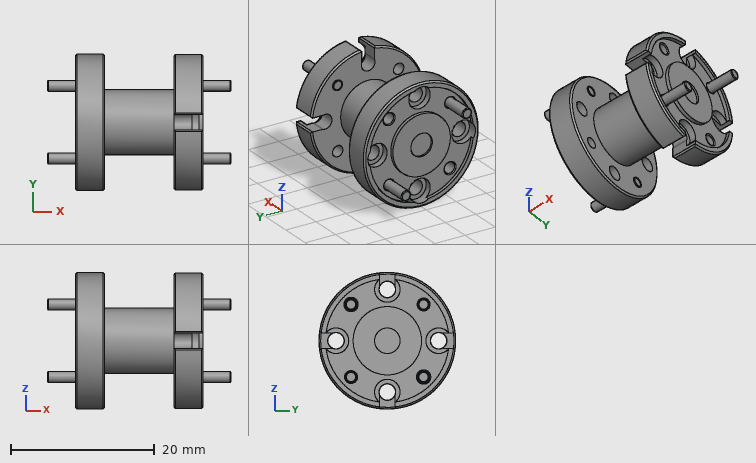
import cadquery as cq
import math

flange_diameter = 19.05
overall_length = 25.53
body_length = 17.78
flange_thickness = 4.08
tube_diameter = 9.14
flange_edge_chamfer = 0.25

recess_outer_diameter = 17.2
boss_diameter = 9.52
recess_depth = 0.55
centre_bore_diameter = 3.55
centre_bore_depth = 0.3

bolt_circle_radius = 7.14
screw_hole_diameter = 2.26
counterbore_diameter = 3.55
counterbore_depth = 1.57
slot_width = 2.12
slot_edge_chamfer = 0.23
screw_angles = [0, 90, 180, 270]

pin_diameter = 1.56
pin_tip_chamfer = 0.13
pin_mouth_chamfer = 0.12
clearance_hole_diameter = 1.7
clearance_mouth_chamfer = 0.15
pin_angles = [45, 225]
clearance_angles = [135, 315]

outer_face = body_length / 2
inner_face = outer_face - flange_thickness
flange_radius = flange_diameter / 2
recess_floor = outer_face - recess_depth


def bolt_circle_point(angle):
    """Y and Z of a point on the bolt circle, at an angle measured from +Y towards +Z."""
    turn = math.radians(angle)
    return bolt_circle_radius * math.cos(turn), bolt_circle_radius * math.sin(turn)


def disc(x_start, x_end, diameter, angle=None):
    """Cylinder along X, on the axis or, when an angle is given, on the bolt circle."""
    centre = (0, 0) if angle is None else bolt_circle_point(angle)
    plane = cq.Workplane("YZ", origin=(x_start, 0, 0))
    return plane.center(*centre).circle(diameter / 2).extrude(x_end - x_start)


def pin_hole(diameter, mouth_chamfer, angle):
    """Cutter for a through hole on the bolt circle, chamfered where it opens in the recess floor."""
    cone_start = recess_floor - mouth_chamfer
    cone_base = cq.Vector(cone_start, *bolt_circle_point(angle))
    radius = diameter / 2
    cone = cq.Solid.makeCone(radius, radius + mouth_chamfer, mouth_chamfer, cone_base, cq.Vector(1, 0, 0))
    return disc(inner_face, outer_face, diameter, angle).union(cq.Workplane(cone))


def flange():
    """Flange at the +X end, with its recessed mating face, counterbored screw holes and pin holes."""
    body = disc(inner_face, outer_face, flange_diameter).edges().chamfer(flange_edge_chamfer)
    recess = disc(recess_floor, outer_face, recess_outer_diameter)
    recess = recess.cut(disc(recess_floor, outer_face, boss_diameter))
    body = body.cut(recess)
    body = body.cut(disc(outer_face - centre_bore_depth, outer_face, centre_bore_diameter))
    for angle in screw_angles:
        body = body.cut(disc(inner_face, outer_face, screw_hole_diameter, angle))
        body = body.cut(disc(outer_face - counterbore_depth, outer_face, counterbore_diameter, angle))
    for angle in pin_angles:
        body = body.cut(pin_hole(pin_diameter, pin_mouth_chamfer, angle))
    for angle in clearance_angles:
        body = body.cut(pin_hole(clearance_hole_diameter, clearance_mouth_chamfer, angle))
    return body


def screw_slot(angle):
    """Slot that opens a screw hole out through the rim, flared where it meets the outer surface."""
    half_width = slot_width / 2
    flare = slot_edge_chamfer
    rim = math.sqrt(flange_radius**2 - (half_width + flare) ** 2)
    outline = [
        (bolt_circle_radius, -half_width),
        (rim - flare, -half_width),
        (rim, -half_width - flare),
        (flange_radius, -half_width - flare),
        (flange_radius, half_width + flare),
        (rim, half_width + flare),
        (rim - flare, half_width),
        (bolt_circle_radius, half_width),
    ]
    slot = cq.Workplane("YZ", origin=(inner_face, 0, 0)).polyline(outline).close().extrude(flange_thickness)
    return slot.rotate((0, 0, 0), (1, 0, 0), angle)


def turn_to_minus_x(body):
    """Turn half a revolution about Z, so the +X end becomes the -X end."""
    return body.rotate((0, 0, 0), (0, 0, 1), 180)


def pin(angle):
    """Dowel pin flush with the inner face of the +X flange, with both ends chamfered."""
    return disc(inner_face, overall_length / 2, pin_diameter, angle).edges().chamfer(pin_tip_chamfer)


slotted_flange = flange()
for screw_angle in screw_angles:
    slotted_flange = slotted_flange.cut(screw_slot(screw_angle))
plain_flange = turn_to_minus_x(flange())
tube = disc(-inner_face, inner_face, tube_diameter)
housing = tube.union(plain_flange).union(slotted_flange)

slotted_end_pins = [pin(angle) for angle in pin_angles]
plain_end_pins = [turn_to_minus_x(pin(angle)) for angle in pin_angles]
pins = slotted_end_pins + plain_end_pins

result = cq.Compound.makeCompound([housing.val(), *[dowel.val() for dowel in pins]])